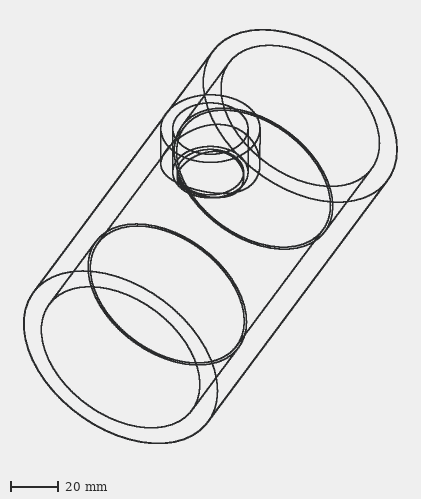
import cadquery as cq

length = 168.0
pipe_diameter = 92.0
socket_diameter = 75.3
bore_diameter = 73.0
socket_depth = 43.7

branch_top = 62.5
branch_diameter = 42.0
branch_socket_diameter = 32.0
branch_bore_diameter = 28.2
branch_socket_depth = 25.2


def cylinder_along_y(diameter, start, depth):
    """Cylinder on the pipe axis, from Y = start towards +Y."""
    return cq.Workplane("XZ", origin=(0, start, 0)).circle(diameter / 2).extrude(-depth)


def cylinder_along_z(diameter, start, depth):
    """Cylinder on the branch axis, from Z = start upwards."""
    return cq.Workplane("XY", origin=(0, 0, start)).circle(diameter / 2).extrude(depth)


body = cylinder_along_y(pipe_diameter, -length / 2, length)
body = body.union(cylinder_along_z(branch_diameter, 0, branch_top))

body = body.cut(cylinder_along_y(bore_diameter, -length / 2, length))
for socket_start in (-length / 2, length / 2 - socket_depth):
    body = body.cut(cylinder_along_y(socket_diameter, socket_start, socket_depth))

body = body.cut(cylinder_along_z(branch_bore_diameter, 0, branch_top))
branch_socket_floor = branch_top - branch_socket_depth
result = body.cut(cylinder_along_z(branch_socket_diameter, branch_socket_floor, branch_socket_depth))